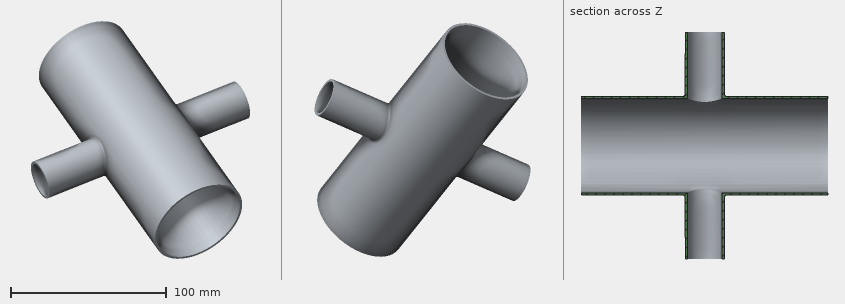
import cadquery as cq

RUN_LENGTH = 158.75
BRANCH_SPAN = 146.05
RUN_OUTER_DIAMETER = 63.5
BRANCH_OUTER_DIAMETER = 25.4
WALL_THICKNESS = 1.65
WELD_FILLET_RADIUS = 1.6

RUN_BORE_DIAMETER = RUN_OUTER_DIAMETER - 2 * WALL_THICKNESS
BRANCH_BORE_DIAMETER = BRANCH_OUTER_DIAMETER - 2 * WALL_THICKNESS


def run_cylinder(diameter):
    """Cylinder along X, as long as the main tube."""
    return cq.Workplane("YZ").circle(diameter / 2).extrude(RUN_LENGTH / 2, both=True)


def branch_cylinder(diameter):
    """Cylinder along Y, reaching from one branch end to the other."""
    return cq.Workplane("XZ").circle(diameter / 2).extrude(BRANCH_SPAN / 2, both=True)


def around_junctions():
    """Selector for the edges near the places where the branches meet the main tube."""
    half_width = BRANCH_OUTER_DIAMETER
    half_depth = (RUN_OUTER_DIAMETER + BRANCH_SPAN) / 4
    return cq.selectors.BoxSelector(
        (-half_width, -half_depth, -half_width),
        (half_width, half_depth, half_width),
        boundingbox=True,
    )


def cross_body():
    """Solid outside shape, with a fillet where each branch leaves the main tube."""
    body = run_cylinder(RUN_OUTER_DIAMETER).union(branch_cylinder(BRANCH_OUTER_DIAMETER))
    return body.edges(around_junctions()).fillet(WELD_FILLET_RADIUS)


def cross_bores():
    """Through bores of the main tube and of both branches."""
    return run_cylinder(RUN_BORE_DIAMETER).union(branch_cylinder(BRANCH_BORE_DIAMETER))


result = cross_body().cut(cross_bores())